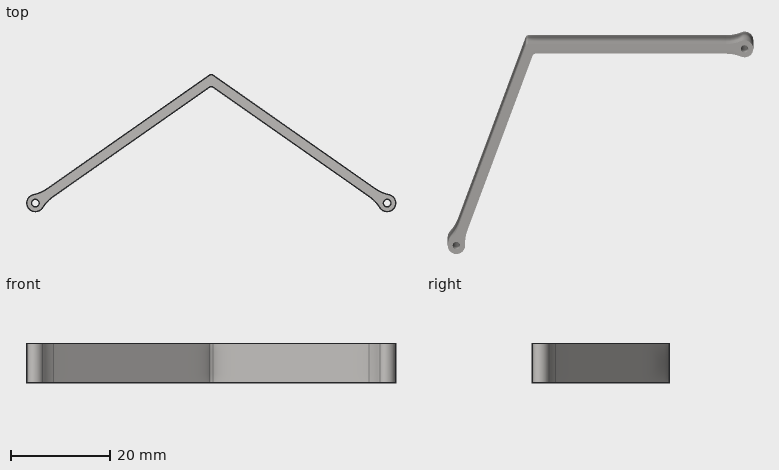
import cadquery as cq
import math

overall_length = 74.5
height = 8.0
arm_slope = 35.0
arm_width = 2.0
boss_diameter = 3.5
hole_diameter = 1.5
neck_radius = 8.0
outer_bend_radius = 0.5
inner_bend_radius = 0.7

boss_radius = boss_diameter / 2
half_arm = arm_width / 2
half_span = overall_length / 2 - boss_radius
slope = math.radians(arm_slope)
bend_y = half_span * math.tan(slope)
bend_offset = half_arm / math.cos(slope)


def make_arms():
    """Bent bar of constant width, ending at the boss centers, with a rounded bend."""
    end_dx = half_arm * math.sin(slope)
    end_dy = half_arm * math.cos(slope)
    outline = [
        (-half_span - end_dx, end_dy),
        (0, bend_y + bend_offset),
        (half_span + end_dx, end_dy),
        (half_span - end_dx, -end_dy),
        (0, bend_y - bend_offset),
        (-half_span + end_dx, -end_dy),
    ]
    bar = cq.Workplane("XY").polyline(outline).close().extrude(height)

    def round_bend(body, y, radius):
        edge = cq.selectors.NearestToPointSelector((0, y, height / 2))
        return body.edges("|Z").edges(edge).fillet(radius)

    bar = round_bend(bar, bend_y + bend_offset, outer_bend_radius)
    return round_bend(bar, bend_y - bend_offset, inner_bend_radius)


def make_left_end():
    """Round boss with concave necks that run tangentially into the left arm."""
    center_v = half_arm + neck_radius
    center_u = math.sqrt((boss_radius + neck_radius) ** 2 - center_v**2)
    boss_share = boss_radius / (boss_radius + neck_radius)
    boss_u = center_u * boss_share
    boss_v = center_v * boss_share

    start_angle = math.atan2(-center_v, -center_u)
    middle_angle = (start_angle - math.pi / 2) / 2
    middle_u = center_u + neck_radius * math.cos(middle_angle)
    middle_v = center_v + neck_radius * math.sin(middle_angle)

    neck = (
        cq.Workplane("XY")
        .moveTo(0, 0)
        .lineTo(boss_u, boss_v)
        .threePointArc((middle_u, middle_v), (center_u, half_arm))
        .lineTo(center_u, -half_arm)
        .threePointArc((middle_u, -middle_v), (boss_u, -boss_v))
        .close()
        .extrude(height)
    )
    boss = cq.Workplane("XY").circle(boss_radius).extrude(height)
    end = boss.union(neck)
    return end.rotate((0, 0, 0), (0, 0, 1), arm_slope).translate((-half_span, 0, 0))


left_end = make_left_end()
body = make_arms().union(left_end).union(left_end.mirror("YZ"))

holes = (
    cq.Workplane("XY")
    .pushPoints([(-half_span, 0), (half_span, 0)])
    .circle(hole_diameter / 2)
    .extrude(height)
)
result = body.cut(holes).clean()